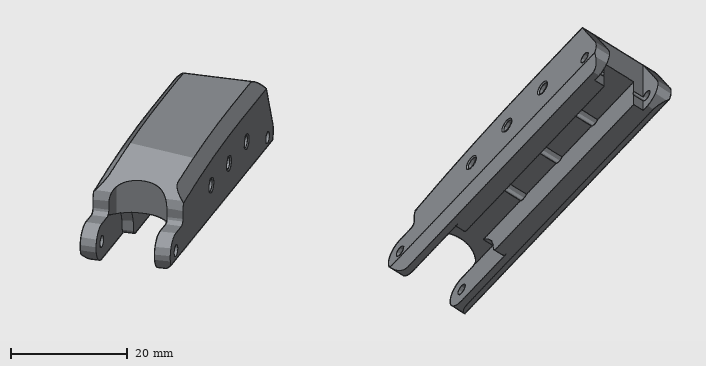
import cadquery as cq
import math

length = 58.45
width = 16.2
height = 14.6

lug_radius = 3.3
pivot_hole_diameter = 2.05
gap_width = 10.45
front_pivot_y = lug_radius
rear_pivot_y = length - lug_radius
rear_notch_depth = 4.15

front_face_y = 7.25
flat_start_y = 41.25
roof_radius = 255.95
rear_lean = math.radians(24.5)
step_fillet = 1.0
front_fillet = 4.0
rear_fillet = 3.0

top_chamfer = 2.0
bottom_chamfer = 1.65

channel_width = 6.35
channel_height = 2 * lug_radius
clearance_radius = 2 * lug_radius
rail_end_y = 14.85
rail_arc_radius = 7.0
rail_edge_round = 0.95

side_hole_diameter = 2.3
side_hole_countersink = 0.25
side_hole_z = 7.3
side_hole_pitch = 10.0
middle_hole_y = 33.3

margin = 5.85


def roof_z(y):
    """Height of the curved roof in front of the flat stretch."""
    run = flat_start_y - y
    return height - roof_radius + math.sqrt(roof_radius**2 - run**2)


def extrude_across(sketch, across):
    """Extrude a YZ outline symmetrically about the X = 0 plane."""
    return sketch.extrude(across / 2, both=True)


def box(across, y_start, y_end, z_start, z_end):
    """Block centred on X = 0."""
    block = cq.Workplane("XY").box(across, y_end - y_start, z_end - z_start, centered=(True, False, False))
    return block.translate((0, y_start, z_start))


def cross_hole(y, z, diameter):
    """Cylinder through the full width."""
    return extrude_across(cq.Workplane("YZ").center(y, z).circle(diameter / 2), width + margin)


def fillet_corner(solid, y, z, radius):
    """Round the edge that runs along X through (y, z)."""
    return solid.edges(cq.selectors.NearestToPointSelector((0, y, z))).fillet(radius)


def side_profile():
    """Lugs, front step, arched roof and leaning rear face."""
    lean_y = rear_pivot_y + lug_radius * math.cos(rear_lean)
    lean_z = lug_radius * (1 + math.sin(rear_lean))
    rear_top_y = lean_y - (height - lean_z) * math.tan(rear_lean)
    front_top_z = roof_z(front_face_y)
    roof_middle_y = (front_face_y + flat_start_y) / 2
    rear_middle = (
        rear_pivot_y + lug_radius * math.cos(math.pi / 4),
        lug_radius * (1 - math.sin(math.pi / 4)),
    )
    outline = (
        cq.Workplane("YZ")
        .moveTo(front_pivot_y, 0)
        .threePointArc((0, lug_radius), (front_pivot_y, 2 * lug_radius))
        .lineTo(front_face_y, 2 * lug_radius)
        .lineTo(front_face_y, front_top_z)
        .threePointArc((roof_middle_y, roof_z(roof_middle_y)), (flat_start_y, height))
        .lineTo(rear_top_y, height)
        .lineTo(lean_y, lean_z)
        .threePointArc(rear_middle, (rear_pivot_y, 0))
        .close()
    )
    solid = extrude_across(outline, width)
    solid = fillet_corner(solid, front_face_y, 2 * lug_radius, step_fillet)
    solid = fillet_corner(solid, front_face_y, front_top_z, front_fillet)
    return fillet_corner(solid, rear_top_y, height, rear_fillet)


def chamfered_envelope():
    """Full-width bar under the roof curve, with its four long edges chamfered."""
    start_y = -margin
    end_y = length + margin
    outline = (
        cq.Workplane("YZ")
        .moveTo(start_y, 0)
        .lineTo(start_y, roof_z(start_y))
        .threePointArc((flat_start_y / 2, roof_z(flat_start_y / 2)), (flat_start_y, height))
        .lineTo(end_y, height)
        .lineTo(end_y, 0)
        .close()
    )
    bar = extrude_across(outline, width)
    bar = bar.faces("<Z").edges("|Y").chamfer(bottom_chamfer)
    roof_edges = bar.faces(">X").edges(">Z").vals() + bar.faces("<X").edges(">Z").vals()
    return bar.newObject(roof_edges).chamfer(top_chamfer)


def front_clearance():
    """Upright round cut about the front pivot, no wider than the gap between the lugs."""
    cylinder = cq.Workplane("XY").center(0, front_pivot_y).circle(clearance_radius).extrude(height)
    return cylinder.intersect(box(gap_width, -margin, length, 0, height))


def front_recess():
    """Gap under the roof, ending at the concave, round-edged ends of the channel rails."""
    arc_center_y = rail_end_y - rail_arc_radius
    arc_rise = channel_height - rail_edge_round
    roof_angle = math.asin(arc_rise / rail_arc_radius)

    def on_arc(angle):
        return (
            arc_center_y + rail_arc_radius * math.cos(angle),
            rail_edge_round + rail_arc_radius * math.sin(angle),
        )

    round_middle = (
        rail_end_y + rail_edge_round * (1 - math.cos(math.pi / 4)),
        rail_edge_round * (1 - math.sin(math.pi / 4)),
    )
    outline = (
        cq.Workplane("YZ")
        .moveTo(-margin, 0)
        .lineTo(-margin, channel_height)
        .lineTo(*on_arc(roof_angle))
        .threePointArc(on_arc(roof_angle / 2), on_arc(0))
        .threePointArc(round_middle, (rail_end_y + rail_edge_round, 0))
        .close()
    )
    return extrude_across(outline, gap_width)


def side_hole(y):
    """Through hole with a small countersink at each side."""
    cutter = cross_hole(y, side_hole_z, side_hole_diameter)
    mouth_radius = side_hole_diameter / 2 + side_hole_countersink
    for side in (-1, 1):
        cone = cq.Solid.makeCone(
            mouth_radius,
            mouth_radius - side_hole_countersink,
            side_hole_countersink,
            pnt=cq.Vector(side * width / 2, y, side_hole_z),
            dir=cq.Vector(-side, 0, 0),
        )
        cutter = cutter.union(cq.Workplane(obj=cone))
    return cutter


body = side_profile().intersect(chamfered_envelope())
body = body.cut(front_clearance())
body = body.cut(front_recess())
body = body.cut(box(channel_width, -margin, length + margin, 0, channel_height))
body = body.cut(box(gap_width, length - rear_notch_depth, length + margin, 0, height))

for pivot_y in (front_pivot_y, rear_pivot_y):
    body = body.cut(cross_hole(pivot_y, lug_radius, pivot_hole_diameter))

for step in (-1, 0, 1):
    body = body.cut(side_hole(middle_hole_y + step * side_hole_pitch))

result = body